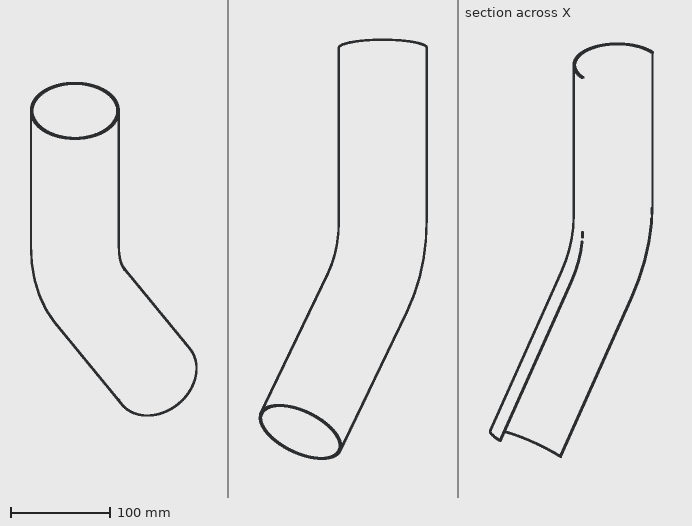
import cadquery as cq
import math

outer_diameter = 88.9
inner_diameter = 85.7

leg_length = 2 * outer_diameter
bend_radius = 152.4
bend_angle = 30.0


def centreline_point(angle):
    """Point (Y, Z) on the bend centreline, turned by angle from the vertical leg."""
    turn = math.radians(angle)
    y = bend_radius * (1 - math.cos(turn))
    z = -leg_length - bend_radius * math.sin(turn)
    return y, z


def tube_path():
    """Centreline in the YZ plane, running down from the top opening at the origin."""
    bend_start = centreline_point(0)
    bend_middle = centreline_point(bend_angle / 2)
    bend_end = centreline_point(bend_angle)
    lean = math.radians(bend_angle)
    bottom_end = (
        bend_end[0] + leg_length * math.sin(lean),
        bend_end[1] - leg_length * math.cos(lean),
    )
    return (
        cq.Workplane("YZ")
        .moveTo(0, 0)
        .lineTo(*bend_start)
        .threePointArc(bend_middle, bend_end)
        .lineTo(*bottom_end)
    )


def bent_tube():
    """Ring section swept along the centreline, open at both ends."""
    section = cq.Workplane("XY").circle(outer_diameter / 2).circle(inner_diameter / 2)
    return section.sweep(tube_path())


result = bent_tube()